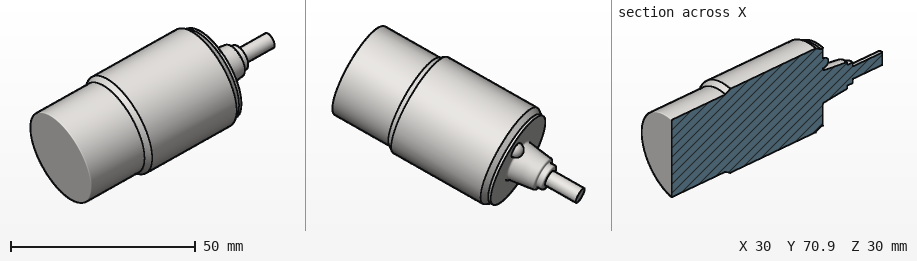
import cadquery as cq

total_length = 70.9
face_y = -total_length / 2
cable_end_y = total_length / 2
cable_length = 9.85
collar_length = 1.9
boot_length = 8.15
rear_lip_length = 0.85
shoulder_length = 1.7
nose_length = 18.1

body_radius = 30.0 / 2
nose_radius = 13.8
cable_radius = 4.6 / 2
collar_radius = 3.75
boot_tip_radius = 4.8
boot_base_radius = 5.9

face_rounding = 0.3
collar_rounding = 0.4
collar_root_rounding = 0.2
boot_tip_rounding = 0.5
boot_base_rounding = 0.5

lamp_radius = 2.2
lamp_x = 1.2
lamp_z = 8.3

collar_end_y = cable_end_y - cable_length
boot_tip_y = collar_end_y - collar_length
rear_face_y = boot_tip_y - boot_length
nose_end_y = face_y + nose_length


def section_plane(y):
    """Plane normal to the long axis, extruding toward +Y."""
    return cq.Workplane(cq.Plane(origin=(0, y, 0), xDir=(1, 0, 0), normal=(0, 1, 0)))


def make_housing():
    """Stepped body with conical shoulders at both ends of the wide band."""
    lip_y = rear_face_y - rear_lip_length
    outline = (
        cq.Workplane("XY")
        .moveTo(0, face_y)
        .lineTo(nose_radius, face_y)
        .lineTo(nose_radius, nose_end_y)
        .lineTo(body_radius, nose_end_y + shoulder_length)
        .lineTo(body_radius, lip_y - shoulder_length)
        .lineTo(nose_radius, lip_y)
        .lineTo(nose_radius, rear_face_y)
        .lineTo(0, rear_face_y)
        .close()
    )
    housing = outline.revolve(360, (0, 0, 0), (0, 1, 0))
    return housing.faces("<Y").edges().fillet(face_rounding)


def make_boot():
    """Tapered strain relief with a rounded tip."""
    boot = (
        section_plane(rear_face_y)
        .circle(boot_base_radius)
        .workplane(offset=boot_length)
        .circle(boot_tip_radius)
        .loft()
    )
    return boot.faces(">Y").edges().fillet(boot_tip_rounding)


def make_collar():
    """Short ring where the cable enters the boot."""
    collar = section_plane(boot_tip_y).circle(collar_radius).extrude(collar_length)
    return collar.faces(">Y").edges().fillet(collar_rounding)


def make_cable():
    return section_plane(collar_end_y).circle(cable_radius).extrude(cable_length)


def make_lamp():
    """Ball half sunk into the rear face."""
    return cq.Workplane("XY").sphere(lamp_radius).translate((lamp_x, rear_face_y, lamp_z))


def blend_root(body, y, rounding):
    """Fillet the inner edge of the ring-shaped flat that lies at y."""
    flat = cq.selectors.NearestToPointSelector((0, y, 0))
    inner_edge = cq.selectors.RadiusNthSelector(0)
    return body.faces("|Y").faces(flat).edges(inner_edge).fillet(rounding)


result = make_housing().union(make_boot())
result = blend_root(result, rear_face_y, boot_base_rounding)
result = result.union(make_collar())
result = blend_root(result, boot_tip_y, collar_root_rounding)
result = result.union(make_cable()).union(make_lamp())